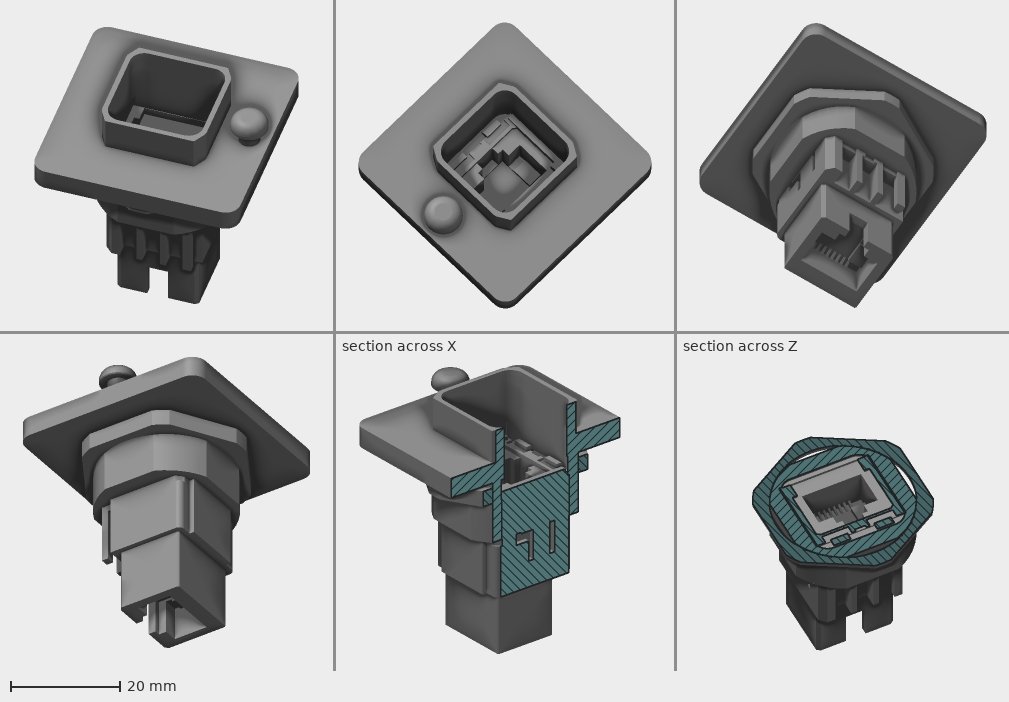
import cadquery as cq
import math


overall_height = 46.85

flange_size = 39.6
flange_thickness = 4.12
flange_corner = 2.9
collar_size = 20.15
collar_height = 6.5
collar_corner_x = 1.5
collar_corner_y = 2.6
collar_side_round = 1.85
collar_front_round = 0.37
opening_size = 18.25
opening_corner = 2.8
body_flats = 24.7
body_diameter = 26.95
body_length = 12.25
body_bottom = -body_length
housing_top = flange_thickness + collar_height

nut_flats = 30.22
nut_height = 3.25
nut_round_diameter = 33.2
nut_gap = 0.95
nut_bottom = -nut_gap - nut_height

pin_x = 16.0
pin_shank_diameter = 4.1
pin_shank_length = 2.95
pin_head_diameter = 7.08
pin_rim_height = 0.8
pin_rim_chamfer = 0.2
pin_dome_radius = 1.95

sleeve_width = 17.95
sleeve_depth = 18.2
sleeve_chamfer = 1.3
sleeve_back_round = 1.12
sleeve_bottom = -24.0
base_bottom = -13.5
ledge_z = -3.9
half_width = sleeve_width / 2
half_depth = sleeve_depth / 2

rim_top = -2.35
rim_front_y = -7.05
rim_back_y = 7.95
front_wall_y = -7.5
front_wall_top = -3.05
shoulder_y = 4.9
shoulder_half_width = 6.85
trough_inner_x = 1.87
trough_outer_x = 7.2
trough_back_y = -5.9
trough_depth = 0.45
notch_half_width = 1.05
notch_depth = 0.45

hook_inner_x = 2.65
hook_outer_x = 6.2
hook_back_y = -7.15
hook_crest_y = -8.25
hook_front_y = -9.0
hook_top = -2.6

front_recess_y = -6.35
rib_inner_x = 1.7
rib_outer_x = 2.8
corner_post_x = 6.05
post_side_x = half_width - sleeve_chamfer
post_back_y = -half_depth + sleeve_chamfer

side_slot_depth = 1.05
side_slot_width = 1.0
side_slot_bottom = -18.55
straight_slot_y = -3.95
cranked_slot_upper_y = 3.95
cranked_slot_lower_y = 1.05
crank_top = -12.5
crank_bottom = -14.45

back_rib_width = 12.1
back_rib_y = 10.07

plug_width = 15.7
plug_back_y = 7.85
plug_front_y = -5.25
plug_bottom = housing_top - overall_height
plug_front_chamfer_x = 0.7
plug_front_chamfer_y = 0.5
plug_back_chamfer = 0.25

jack_half_width = 6.05
jack_back_y = 4.8
jack_front_y = -2.2
tab_half_width = 3.2
tab_front_y = -3.8
key_half_width = 2.0
key_depth = 6.75
jack_depth = 7.2
shelf_back_y = 3.2
shelf_front_y = -0.9
tall_shelf = 0.95
low_shelf = 0.45
contact_count = 8
contact_pitch = 1.05
contact_width = 0.4
contact_length = 1.55
contact_height = 1.05


def block(x0, x1, y0, y1, z0, z1):
    """Box between opposite corner coordinates."""
    return cq.Workplane("XY").box(x1 - x0, y1 - y0, z1 - z0, centered=False).translate((x0, y0, z0))


def prism(points, z0, z1):
    """Vertical prism over a closed polygon."""
    return cq.Workplane("XY").workplane(offset=z0).polyline(points).close().extrude(z1 - z0)


def profile_along_x(points, x0, x1):
    """Prism along X over a closed polygon of (y, z) points."""
    return cq.Workplane("YZ").workplane(offset=x0).polyline(points).close().extrude(x1 - x0)


def sleeve_outline(z0, z1):
    """Rectangular sleeve section with four chamfered corners."""
    section = block(-half_width, half_width, -half_depth, half_depth, z0, z1)
    return section.edges("|Z").chamfer(sleeve_chamfer)


def plug_outline(z0, z1):
    """Plug section with chamfered corners."""
    half = plug_width / 2
    outline = [
        (-half + plug_front_chamfer_x, plug_front_y), (half - plug_front_chamfer_x, plug_front_y),
        (half, plug_front_y + plug_front_chamfer_y), (half, plug_back_y - plug_back_chamfer),
        (half - plug_back_chamfer, plug_back_y), (-half + plug_back_chamfer, plug_back_y),
        (-half, plug_back_y - plug_back_chamfer), (-half, plug_front_y + plug_front_chamfer_y),
    ]
    return prism(outline, z0, z1)



def make_collar():
    half = collar_size / 2
    flat_x = half - collar_corner_x
    flat_y = half - collar_corner_y
    outline = [
        (half, flat_y), (flat_x, half), (-flat_x, half), (-half, flat_y),
        (-half, -flat_y), (-flat_x, -half), (flat_x, -half), (half, -flat_y),
    ]
    collar = prism(outline, flange_thickness, housing_top)
    collar = collar.edges("|Z").edges("<X or >X").fillet(collar_side_round)
    return collar.edges("|Z").edges("<Y or >Y").fillet(collar_front_round)


def make_body():
    body = cq.Workplane("XY").circle(body_diameter / 2).extrude(body_bottom)
    flats = block(-body_flats / 2, body_flats / 2, -body_flats / 2, body_flats / 2, body_bottom, 0)
    return body.intersect(flats)


def make_housing():
    flange = cq.Workplane("XY").rect(flange_size, flange_size).extrude(flange_thickness)
    flange = flange.edges("|Z").fillet(flange_corner)
    opening = (
        cq.Workplane("XY").workplane(offset=ledge_z).rect(opening_size, opening_size)
        .extrude(housing_top - ledge_z).edges("|Z").fillet(opening_corner)
    )
    rim_seat = block(-opening_size / 2, opening_size / 2, front_wall_y, rim_back_y, ledge_z, 0)
    housing = flange.union(make_collar()).union(make_body())
    return housing.cut(opening).cut(rim_seat).cut(sleeve_outline(body_bottom, ledge_z))



def make_nut():
    corner_diameter = nut_flats / math.cos(math.pi / 6)
    base = cq.Workplane("XY").workplane(offset=nut_bottom)
    hexagon = base.polygon(6, corner_diameter).extrude(nut_height).rotate((0, 0, 0), (0, 0, 1), 30)
    rounding = base.circle(nut_round_diameter / 2).extrude(nut_height)
    bore = base.circle(body_diameter / 2).extrude(nut_height)
    return hexagon.intersect(rounding).cut(bore)



def make_pin():
    shank = cq.Workplane("XY").circle(pin_shank_diameter / 2).extrude(pin_shank_length)
    head = (
        cq.Workplane("XY").workplane(offset=pin_shank_length).circle(pin_head_diameter / 2)
        .extrude(pin_rim_height + pin_dome_radius)
    )
    head = head.faces(">Z").edges().fillet(pin_dome_radius)
    head = head.faces("<Z").edges().chamfer(pin_rim_chamfer)
    return shank.union(head).translate((pin_x, 0, flange_thickness))



def make_front_recesses():
    """Spaces between the front ribs; the right corner post stands free."""
    front = -half_depth
    recesses = block(-rib_inner_x, rib_inner_x, front, front_recess_y, sleeve_bottom, base_bottom)
    for x0, x1 in ((-corner_post_x, -rib_outer_x), (rib_outer_x, corner_post_x)):
        recesses = recesses.union(block(x0, x1, front, front_recess_y, sleeve_bottom, base_bottom))
    behind_post = block(corner_post_x, half_width, post_back_y, front_recess_y, sleeve_bottom, base_bottom)
    beside_post = block(post_side_x, half_width, front, front_recess_y, sleeve_bottom, base_bottom)
    return recesses.union(behind_post).union(beside_post)


def make_side_slots():
    """Straight and cranked slots in the left side, open toward the housing."""
    half_slot = side_slot_width / 2
    straight = [
        (straight_slot_y - half_slot, side_slot_bottom), (straight_slot_y - half_slot, body_bottom),
        (straight_slot_y + half_slot, body_bottom), (straight_slot_y + half_slot, side_slot_bottom),
    ]
    upper_inner = cranked_slot_upper_y - half_slot
    upper_outer = cranked_slot_upper_y + half_slot
    lower_inner = cranked_slot_lower_y + half_slot
    lower_outer = cranked_slot_lower_y - half_slot
    cranked = [
        (upper_outer, body_bottom), (upper_outer, crank_bottom),
        (lower_inner, crank_bottom), (lower_inner, side_slot_bottom),
        (lower_outer, side_slot_bottom), (lower_outer, crank_top),
        (upper_inner, crank_top), (upper_inner, body_bottom),
    ]
    slot_floor_x = -half_width + side_slot_depth
    slots = profile_along_x(straight, -half_width, slot_floor_x)
    return slots.union(profile_along_x(cranked, -half_width, slot_floor_x))


def make_base_notches():
    """Shallow notches in the base above the front recesses, and the set-back corner beside the post."""
    front = -half_depth
    notches = block(post_side_x, half_width, front, front_recess_y, base_bottom, body_bottom)
    spans = (
        (-corner_post_x, -rib_outer_x), (-notch_half_width, notch_half_width), (rib_outer_x, corner_post_x),
    )
    for x0, x1 in spans:
        notches = notches.union(block(x0, x1, front, front + notch_depth, base_bottom, body_bottom))
    return notches


def make_sleeve():
    base = sleeve_outline(base_bottom, ledge_z)
    skirt = block(-half_width, half_width, -half_depth, half_depth, sleeve_bottom, base_bottom)
    skirt = skirt.edges("|Z and <Y").chamfer(sleeve_chamfer)
    skirt = skirt.edges("|Z and >Y").fillet(sleeve_back_round)
    skirt = skirt.cut(make_front_recesses())
    back_rib = block(
        -back_rib_width / 2, back_rib_width / 2, rim_back_y, back_rib_y, sleeve_bottom, body_bottom,
    )
    sleeve = base.union(skirt).union(back_rib)
    return sleeve.cut(make_base_notches()).cut(make_side_slots())


def make_rim():
    """Raised rim and lower front wall around the upper end of the plug."""
    rim = block(-half_width, half_width, rim_front_y, rim_back_y, ledge_z, rim_top)
    corner_y = plug_front_y + plug_front_chamfer_y
    front_wall = block(-half_width, half_width, front_wall_y, corner_y, ledge_z, front_wall_top)
    front_wall = front_wall.cut(plug_outline(ledge_z, front_wall_top))
    half_plug = plug_width / 2
    well = block(-half_plug, half_plug, rim_front_y, shoulder_y, ledge_z, rim_top)
    well = well.union(
        block(-shoulder_half_width, shoulder_half_width, shoulder_y, plug_back_y, ledge_z, rim_top)
    )
    rim = rim.cut(well).union(front_wall)
    trough_floor = front_wall_top - trough_depth
    for x0, x1 in ((-trough_outer_x, -trough_inner_x), (trough_inner_x, trough_outer_x)):
        rim = rim.cut(block(x0, x1, front_wall_y, trough_back_y, trough_floor, front_wall_top))
    return rim.cut(
        block(-notch_half_width, notch_half_width, front_wall_y, rim_front_y, trough_floor, front_wall_top)
    )


def make_hooks():
    profile = [
        (hook_back_y, ledge_z), (hook_back_y, hook_top), (hook_crest_y, hook_top), (hook_front_y, ledge_z),
    ]
    left = profile_along_x(profile, -hook_outer_x, -hook_inner_x)
    return left.union(profile_along_x(profile, hook_inner_x, hook_outer_x))


def make_jack_cavity():
    """Jack cavity opening upward at Z = 0, with shelves and contacts left standing on its floor."""
    floor = -jack_depth
    cavity = block(-jack_half_width, jack_half_width, jack_front_y, jack_back_y, floor, 0)
    cavity = cavity.union(block(-tab_half_width, tab_half_width, tab_front_y, jack_front_y, floor, 0))
    cavity = cavity.union(
        block(-key_half_width, key_half_width, plug_front_y, tab_front_y, -key_depth, 0)
    )
    for x0, x1 in ((-jack_half_width, -tab_half_width), (tab_half_width, jack_half_width)):
        cavity = cavity.cut(block(x0, x1, shelf_front_y, shelf_back_y, floor, floor + tall_shelf))
        cavity = cavity.cut(block(x0, x1, jack_front_y, shelf_front_y, floor, floor + low_shelf))
    contact_profile = [
        (jack_back_y, floor), (jack_back_y, floor + contact_height), (jack_back_y - contact_length, floor),
    ]
    for index in range(contact_count):
        centre_x = (index - (contact_count - 1) / 2) * contact_pitch
        contact = profile_along_x(
            contact_profile, centre_x - contact_width / 2, centre_x + contact_width / 2,
        )
        cavity = cavity.cut(contact)
    return cavity


def make_insert():
    upper_jack = make_jack_cavity().translate((0, 0, ledge_z))
    lower_jack = make_jack_cavity().mirror("XY").translate((0, 0, plug_bottom))
    plug = plug_outline(plug_bottom, sleeve_bottom)
    insert = make_sleeve().union(make_rim()).union(make_hooks()).union(plug)
    return insert.cut(upper_jack).cut(lower_jack)


housing = make_housing()
nut = make_nut()
pin = make_pin()
insert = make_insert()

result = cq.Compound.makeCompound(
    [housing.solids().val(), nut.solids().val(), pin.solids().val(), insert.solids().val()]
)